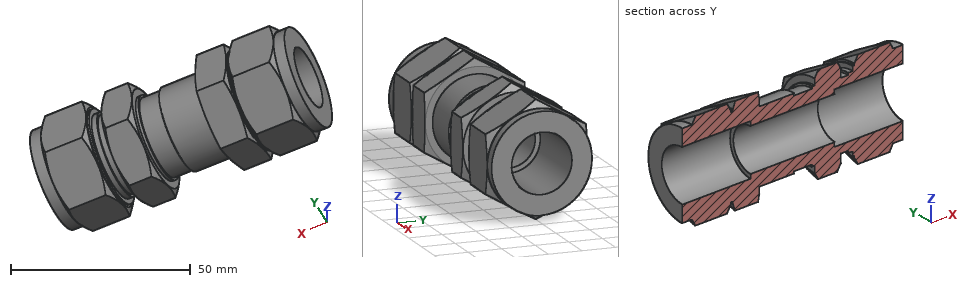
import cadquery as cq
import math

total_length = 78.9

across_flats = 30.0
across_corners = across_flats / math.cos(math.radians(30))
corner_radius = across_corners / 2
hex_face_radius = 14.9
steep_chamfer_length = 1.35
body_hex_front_chamfer = 0.8
body_hex_back_chamfer = 0.5

nut_collar_radius = across_flats / 2
nut_collar_length = 3.4
nut_hex_length = 14.05
nut_inner_face = nut_collar_length + nut_hex_length

body_hex_start = 18.1
body_hex_end = 27.7
lock_nut_start = 47.3
lock_nut_end = 56.8

ferrule_ring_radius = 14.3
thread_radius = 12.7
relief_radius = 12.0
sleeve_end = 40.0
washer_start = 46.4
end_thread_start = 59.25
ferrule_ring_start = 60.9

bore_diameter = 15.0
socket_diameter = 18.0
socket_depth = 24.4


def cylinder(start, end, radius):
    """Solid cylinder on the X axis between two stations."""
    return cq.Workplane("YZ", origin=(start, 0, 0)).circle(radius).extrude(end - start)


def chamfered_hex(start, end, start_chamfer, end_chamfer):
    """Hexagon on the X axis, its corners turned down to a cone at both ends."""
    prism = (
        cq.Workplane("YZ", origin=(start, 0, 0))
        .polygon(6, across_corners)
        .extrude(end - start)
        .rotate((0, 0, 0), (1, 0, 0), 30)
    )
    turned_blank = (
        cq.Workplane("XY")
        .moveTo(start, 0)
        .lineTo(start, hex_face_radius)
        .lineTo(start + start_chamfer, corner_radius)
        .lineTo(end - end_chamfer, corner_radius)
        .lineTo(end, hex_face_radius)
        .lineTo(end, 0)
        .close()
        .revolve(360, (0, 0, 0), (1, 0, 0))
    )
    return prism.intersect(turned_blank)


def compression_nut():
    """Nut at the x = 0 end: a round collar followed by a hexagon."""
    collar = cylinder(0, nut_collar_length, nut_collar_radius)
    hexagon = chamfered_hex(nut_collar_length, nut_inner_face, steep_chamfer_length, steep_chamfer_length)
    return collar.union(hexagon)


near_nut = compression_nut()
far_nut = near_nut.mirror("YZ").translate((total_length, 0, 0))
far_nut_inner_face = total_length - nut_inner_face

round_stretches = [
    (nut_inner_face, body_hex_start, ferrule_ring_radius),
    (body_hex_end, sleeve_end, thread_radius),
    (sleeve_end, washer_start, relief_radius),
    (washer_start, lock_nut_start, thread_radius),
    (lock_nut_end, end_thread_start, relief_radius),
    (end_thread_start, ferrule_ring_start, thread_radius),
    (ferrule_ring_start, far_nut_inner_face, ferrule_ring_radius),
]
body = chamfered_hex(body_hex_start, body_hex_end, body_hex_front_chamfer, body_hex_back_chamfer)
for start, end, radius in round_stretches:
    body = body.union(cylinder(start, end, radius))

lock_nut = chamfered_hex(lock_nut_start, lock_nut_end, steep_chamfer_length, steep_chamfer_length)

fitting = body.union(near_nut).union(far_nut).union(lock_nut)

fitting = fitting.cut(cylinder(0, total_length, bore_diameter / 2))
for socket_start in (0, total_length - socket_depth):
    fitting = fitting.cut(cylinder(socket_start, socket_start + socket_depth, socket_diameter / 2))

result = fitting